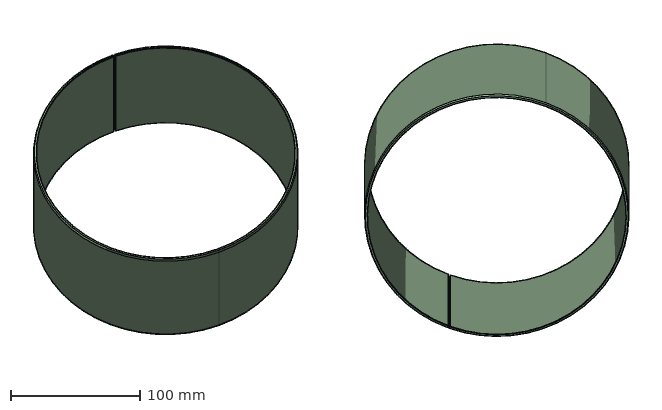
import cadquery as cq

outer_diameter = 205.0
height = 100.0
wall = 2.5

bevel_height = 1.8
bevel_width = 0.72

bore_chamfer = 0.5

slit_width = 1.6

outer_radius = outer_diameter / 2
inner_radius = outer_radius - wall
rim_radius = outer_radius - bevel_width


def make_sleeve():
    """Revolve the wall section, bevelled outside and chamfered inside, around Z."""
    section = [
        (inner_radius, bore_chamfer),
        (inner_radius + bore_chamfer, 0),
        (rim_radius, 0),
        (outer_radius, bevel_height),
        (outer_radius, height - bevel_height),
        (rim_radius, height),
        (inner_radius + bore_chamfer, height),
        (inner_radius, height - bore_chamfer),
    ]
    return cq.Workplane("XZ").polyline(section).close().revolve(360, (0, 0), (0, 1))


def make_slit():
    """Full-height cutter that crosses only the wall on the -X side."""
    cutter = cq.Workplane("XY").box(outer_radius, slit_width, height, centered=False)
    return cutter.translate((-outer_radius, 0, 0))


result = make_sleeve().cut(make_slit())